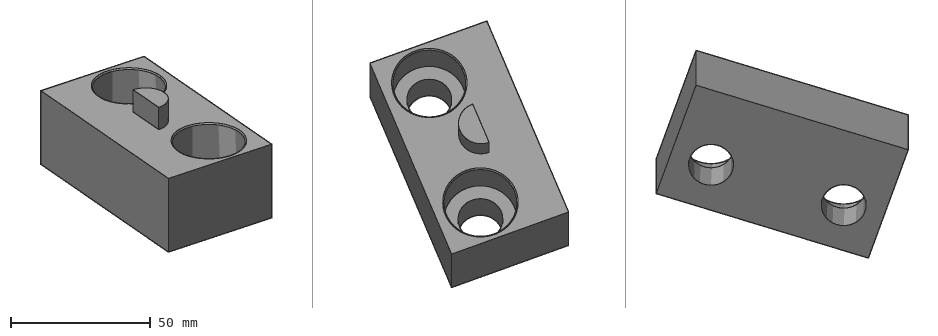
import cadquery as cq

length = 80.0
width = 45.0
height = 30.0

hole_spacing = 50.0
hole_to_back = 17.0
hole_diameter = 16.0
bore_diameter = 26.0
bore_depth = 15.0
rim_chamfer = 0.5

boss_radius = 8.0
boss_height = 9.0
boss_flat_to_front = 18.0

hole_y = width / 2 - hole_to_back
boss_flat_y = boss_flat_to_front - width / 2


def counterbored_hole(x):
    """Cutter for one through hole with a counterbore and a chamfered rim."""
    through = cq.Workplane("XY").center(x, hole_y).circle(hole_diameter / 2).extrude(height)
    bore = (
        cq.Workplane("XY", origin=(x, hole_y, height - bore_depth))
        .circle(bore_diameter / 2)
        .extrude(bore_depth)
    )
    rim = (
        cq.Workplane("XY", origin=(x, hole_y, height))
        .circle(bore_diameter / 2 + rim_chamfer)
        .extrude(-rim_chamfer, taper=45)
    )
    return through.union(bore).union(rim)


block = cq.Workplane("XY").box(length, width, height, centered=(True, True, False))

boss = (
    cq.Workplane("XY", origin=(0, boss_flat_y, height))
    .moveTo(-boss_radius, 0)
    .threePointArc((0, boss_radius), (boss_radius, 0))
    .close()
    .extrude(boss_height)
)

result = block.union(boss)
for side in (-1, 1):
    result = result.cut(counterbored_hole(side * hole_spacing / 2))